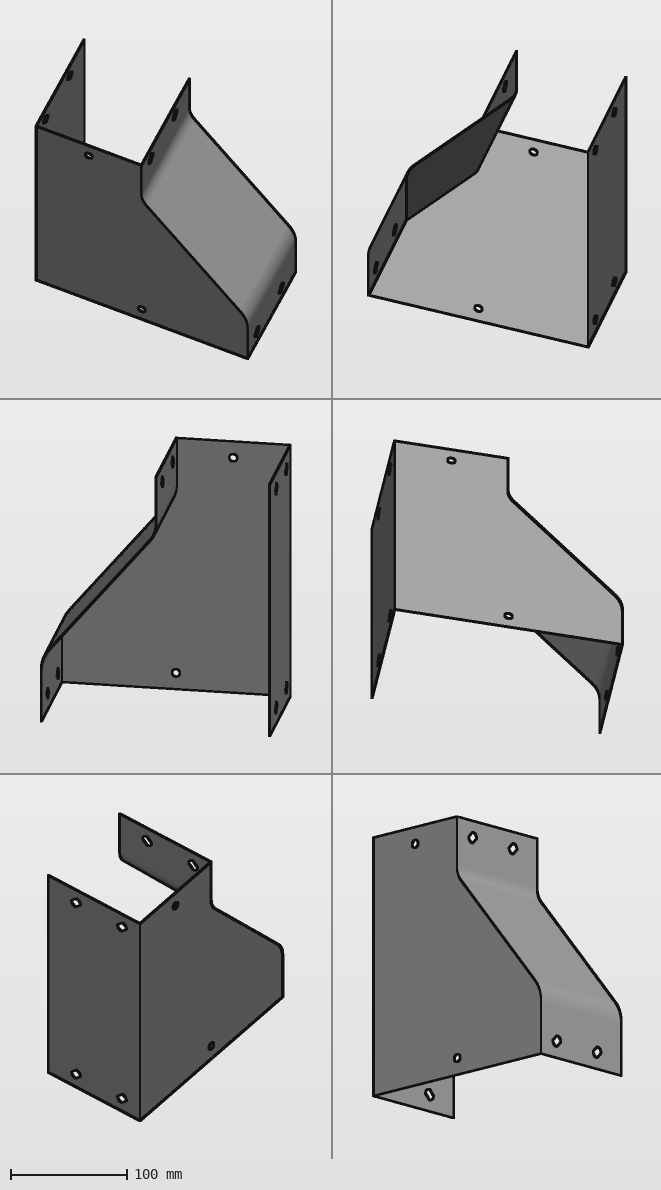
import cadquery as cq

width = 200.0
depth = 100.0
height = 230.0
sheet = 0.8

neck_width = width / 2
slope_top_z = 178.2
slope_bottom_z = 58.2
inner_bend_radius = 20.0
outer_bend_radius = 30.0

hole_diameter = 7.0
hole_edge_distance = 15.0
slot_length = 10.0
slot_width = 7.0
slot_angle = 45.0
slot_spacing = depth / 2
slot_middle_y = -5.0
hole_heights = (hole_edge_distance, height - hole_edge_distance)

front_y = -depth / 2


def make_solid_body():
    """Full prism of the side profile, standing on Z = 0 with its left side at X = 0."""
    outline = [
        (0, 0),
        (width, 0),
        (width, slope_bottom_z),
        (neck_width, slope_top_z),
        (neck_width, height),
        (0, height),
    ]
    body = cq.Workplane("XZ", origin=(0, -front_y, 0)).polyline(outline).close().extrude(depth)
    outer_bend = cq.selectors.NearestToPointSelector((width, 0, slope_bottom_z))
    body = body.edges("|Y").edges(outer_bend).fillet(outer_bend_radius)
    inner_bend = cq.selectors.NearestToPointSelector((neck_width, 0, slope_top_z))
    return body.edges("|Y").edges(inner_bend).fillet(inner_bend_radius)


def make_channel():
    """Sheet channel open at the top, bottom and back."""
    return make_solid_body().faces("<Z or >Z or >Y").shell(-sheet)


def cut_front_holes(part):
    """One round hole near each end, centred on the neck and on the base."""
    centers = list(zip((width / 2, neck_width / 2), hole_heights))
    holes = (
        cq.Workplane("XZ", origin=(0, front_y + 2 * sheet, 0))
        .pushPoints(centers)
        .circle(hole_diameter / 2)
        .extrude(3 * sheet)
    )
    return part.cut(holes)


def flat_sided_slot(angle):
    """Circle of the slot length with two parallel flats, tilted by the given angle."""
    disc = cq.Workplane("YZ").circle(slot_length / 2).extrude(2 * sheet, both=True)
    band = cq.Workplane("YZ").rect(slot_length, slot_width).extrude(2 * sheet, both=True)
    return disc.intersect(band).rotate((0, 0, 0), (1, 0, 0), angle)


def cut_wall_slots(part, wall_x, angle):
    """Four tilted slots through the side wall whose outer face is at wall_x."""
    slot = flat_sided_slot(angle)
    for side in (-1, 1):
        slot_y = slot_middle_y + side * slot_spacing / 2
        for slot_z in hole_heights:
            part = part.cut(slot.translate((wall_x, slot_y, slot_z)))
    return part


def cut_side_slots(part):
    """Slots on the left wall, and on the neck and base stretches of the right wall."""
    part = cut_wall_slots(part, 0, -slot_angle)
    part = cut_wall_slots(part, neck_width, slot_angle)
    return cut_wall_slots(part, width, slot_angle)


result = cut_side_slots(cut_front_holes(make_channel()))